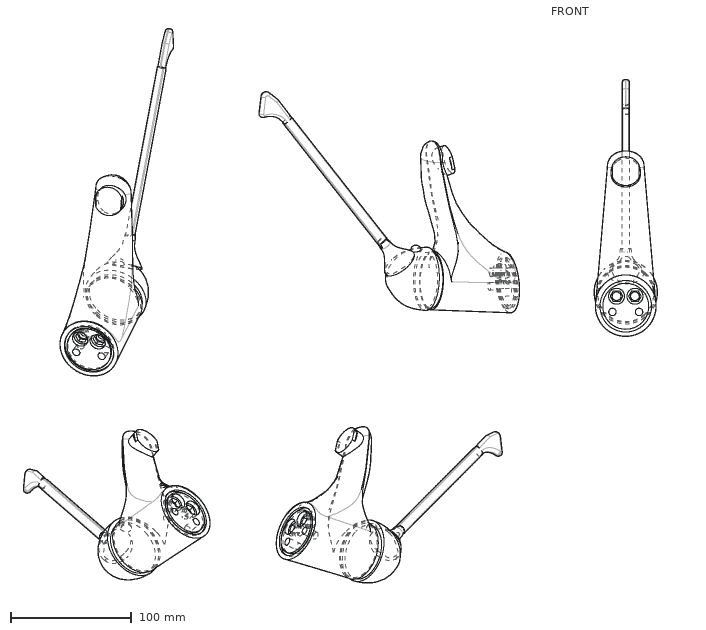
import cadquery as cq
import math


BODY_TILT = 7.5
BASE_RADIUS = 25.2
BODY_LENGTH = 69.0
BODY_END_RADIUS = 24.35
BARREL_OVERRUN = 8.0

RING_RADIUS = 23.0
RING_LENGTH = 4.8
CAP_START = BODY_LENGTH + RING_LENGTH

CAP_RADIUS = 26.25
CAP_RISE = 1.3
CAP_DOME = [(11.0, 24.9), (23.0, 19.3), (31.5, 10.6), (35.2, 0.0)]

SIDE_HALF_WIDTH = 25.03
SIDE_SLOPE = 0.085
SPOUT_TOP = 128.0
SPOUT_SECTIONS = [
    ((0.0, -6.0), (0.0, -0.5), (0.0, 0.2), (0.0, 25.0)),
    ((24.0, -4.0), (21.0, 2.5), (15.7, 9.0), (8.0, 30.0)),
    ((46.0, -1.0), (42.0, 5.0), (29.6, 20.4), (17.0, 36.9)),
    ((64.0, 8.0), (58.0, 9.5), (40.0, 30.5), (26.1, 46.0)),
    ((66.0, 25.0), (59.5, 20.0), (48.0, 41.0), (33.5, 53.8)),
    ((62.6, 39.5), (54.0, 36.0), (52.5, 50.5), (39.5, 61.2)),
    ((66.0, 54.0), (55.9, 57.1), (55.3, 59.0), (44.6, 69.5)),
    ((72.4, 75.6), (60.3, 75.6), (59.7, 75.6), (49.0, 78.0)),
    ((75.9, 94.0), (63.5, 94.0), (63.0, 94.0), (54.3, 94.0)),
    ((76.9, 114.0), (67.0, 114.0), (66.5, 114.0), (60.5, 114.0)),
]
SECTIONS_PER_SPAN = 2
DOME_EXPONENT = 2.3
DOME_LEVELS = [0.0, 0.3, 0.55, 0.75, 0.88, 0.95, 0.985, 0.998]

AERATOR_TILT = 12.5
AERATOR_FACE = (53.1, 111.2)
AERATOR_RADIUS = 12.2
AERATOR_LENGTH = 11.0
AERATOR_FLAT = 10.9
AERATOR_FLAT_DEPTH = 2.8

LEVER_TILT = 53.0
LEVER_ROOT = (110.0, 44.1)
LEVER_WIDTH = 6.0
LEVER_HEIGHT = 8.4
LEVER_EDGE_FILLET = 0.8
PADDLE_EDGE_FILLET = 2.6
NECK_RADIUS = 4.9
SLEEVE_RADIUS = 4.2
SLEEVE_LENGTH = 5.0
BAR_LENGTH = 146.0
PADDLE_START = BAR_LENGTH - 1.0
PADDLE_SHOULDER = (166.0, 4.5)
PADDLE_TIP_CORNER = (183.8, 0.6)
PADDLE_LOW_CORNER = (165.1, -17.6)
PADDLE_CURVE_END = (162.4, -13.8)
PADDLE_CURVE_MIDDLE = (156.1, -6.7)
PADDLE_TIP_ROUND = 4.3
PADDLE_LOW_ROUND = 3.2
NECK_FLARE = [(8.6, 6.7), (17.7, 12.6), (21.5, 14.8)]

MARK_RADIUS = 4.4
MARK_CENTRE = (82.4, 36.4)

GROOVE_OUTER_RADIUS = 21.3
GROOVE_INNER_RADIUS = 19.0
GROOVE_DEPTH = 2.0
GROOVE_Z = -0.5
HOSE_X = 7.6
HOSE_Z = 7.8
HOSE_BORE_RADIUS = 6.6
HOSE_BORE_DEPTH = 4.0
HOSE_HEX_ACROSS_CORNERS = 10.4
HOSE_HEX_DEPTH = 8.0
HOSE_HOLE_RADIUS = 3.6
HOSE_HOLE_DEPTH = 12.0
STUD_X = 11.0
STUD_Z = -5.2
STUD_RADIUS = 3.1
STUD_DEPTH = 12.0


def side_half_width(z):
    return SIDE_HALF_WIDTH - SIDE_SLOPE * z


def axis_plane(origin_yz, tilt):
    """Plane at X = 0: local x runs along +Y raised by tilt, local y upwards."""
    angle = math.radians(tilt)
    return cq.Plane(
        origin=(0, origin_yz[0], origin_yz[1]),
        xDir=(0, math.cos(angle), math.sin(angle)),
        normal=(1, 0, 0),
    )


def make_body():
    """Barrel and neck ring turned about the tilted axis, trimmed at the mounting face."""
    taper = (BASE_RADIUS - BODY_END_RADIUS) / BODY_LENGTH
    turned = (
        cq.Workplane(axis_plane((0, 0), BODY_TILT))
        .moveTo(-BARREL_OVERRUN, 0)
        .lineTo(-BARREL_OVERRUN, BASE_RADIUS + taper * BARREL_OVERRUN)
        .lineTo(BODY_LENGTH, BODY_END_RADIUS)
        .lineTo(BODY_LENGTH, RING_RADIUS)
        .lineTo(CAP_START, RING_RADIUS)
        .lineTo(CAP_START, 0)
        .lineTo(-BARREL_OVERRUN, 0)
        .close()
        .revolve(360, (0, 0), (1, 0))
    )
    trim = cq.Workplane("XZ").rect(4 * BASE_RADIUS, 4 * BASE_RADIUS).extrude(2 * BARREL_OVERRUN)
    return turned.cut(trim)


def make_cap():
    """Domed cap turned about an axis just above the barrel axis."""
    profile = [(0, CAP_RADIUS)] + CAP_DOME
    return (
        cq.Workplane(axis_plane((0, 0), BODY_TILT))
        .center(CAP_START, CAP_RISE)
        .lineTo(0, CAP_RADIUS)
        .spline(profile, tangents=[(1, 0), (0, -1)])
        .close()
        .revolve(360, (0, 0), (1, 0))
    )


def guide_curve(points):
    """Smooth curve at X = 0 whose parameter counts the points it passes."""
    return cq.Edge.makeSpline([cq.Vector(0, y, z) for y, z in points], parameters=range(len(points)))


def lens_section(half_widths, back, back_edge, front_edge, front):
    """Closed section: front and back arcs joined by two straight sides."""
    back_half_width, front_half_width = half_widths
    left_front, right_front = (front_edge + cq.Vector(x, 0, 0) for x in (-front_half_width, front_half_width))
    left_back, right_back = (back_edge + cq.Vector(x, 0, 0) for x in (-back_half_width, back_half_width))
    return cq.Wire.assembleEdges([
        cq.Edge.makeThreePointArc(left_front, front, right_front),
        cq.Edge.makeLine(right_front, right_back),
        cq.Edge.makeThreePointArc(right_back, back, left_back),
        cq.Edge.makeLine(left_back, left_front),
    ])


def make_horn():
    """Spout up to the start of its domed tip, lofted along the guide curves."""
    guides = [guide_curve(p) for p in zip(*SPOUT_SECTIONS)]
    sections = []
    for i in range((len(SPOUT_SECTIONS) - 1) * SECTIONS_PER_SPAN + 1):
        points = [guide.positionAt(i / SECTIONS_PER_SPAN, mode="parameter") for guide in guides]
        half_widths = [side_half_width(edge.z) for edge in points[1:3]]
        sections.append(lens_section(half_widths, *points))
    return cq.Workplane(cq.Solid.makeLoft(sections))


def make_spout_tip():
    """Dome over the top section of the horn, shrinking along a near-elliptic curve."""
    start_section = SPOUT_SECTIONS[-1]
    middle_y, start_z = start_section[2]
    half_width = side_half_width(start_z)
    sections = []
    for level in DOME_LEVELS:
        scale = math.sqrt(1 - level ** DOME_EXPONENT)
        z = start_z + level * (SPOUT_TOP - start_z)
        points = [cq.Vector(0, middle_y + scale * (y - middle_y), z) for y, _ in start_section]
        sections.append(lens_section([scale * half_width] * 2, *points))
    return cq.Workplane(cq.Solid.makeLoft(sections))


def make_aerator():
    """Outlet nozzle with two wrench flats at its face."""
    nozzle = cq.Workplane("XY").circle(AERATOR_RADIUS).extrude(-AERATOR_LENGTH)
    jaws = (
        cq.Workplane("XY")
        .rect(4 * AERATOR_RADIUS, 4 * AERATOR_RADIUS)
        .rect(2 * AERATOR_FLAT, 4 * AERATOR_RADIUS)
        .extrude(-AERATOR_FLAT_DEPTH)
    )
    return (
        nozzle.cut(jaws)
        .rotate((0, 0, 0), (1, 0, 0), 90 - AERATOR_TILT)
        .translate((0, *AERATOR_FACE))
    )


def make_neck():
    """Round sleeve on the lever that flares into the cap."""
    flare_end = NECK_FLARE[-1][0]
    return (
        cq.Workplane(axis_plane(LEVER_ROOT, LEVER_TILT))
        .moveTo(SLEEVE_LENGTH, 0)
        .lineTo(SLEEVE_LENGTH, SLEEVE_RADIUS)
        .lineTo(0, NECK_RADIUS)
        .spline([(-d, r) for d, r in NECK_FLARE], includeCurrent=True)
        .lineTo(-flare_end, 0)
        .close()
        .revolve(360, (0, 0), (1, 0))
    )


def make_lever():
    """Flat bar with softened edges, ending in a hooked paddle."""
    plane = axis_plane(LEVER_ROOT, LEVER_TILT)
    bar = (
        cq.Workplane(plane)
        .center(BAR_LENGTH / 2, 0)
        .box(BAR_LENGTH, LEVER_HEIGHT, LEVER_WIDTH)
        .edges(cq.selectors.ParallelDirSelector(plane.xDir))
        .fillet(LEVER_EDGE_FILLET)
    )
    outline = (
        cq.Workplane(plane)
        .moveTo(PADDLE_START, LEVER_HEIGHT / 2)
        .lineTo(*PADDLE_SHOULDER)
        .lineTo(*PADDLE_TIP_CORNER)
        .lineTo(*PADDLE_LOW_CORNER)
        .lineTo(*PADDLE_CURVE_END)
        .threePointArc(PADDLE_CURVE_MIDDLE, (PADDLE_START, -LEVER_HEIGHT / 2))
        .close()
        .extrude(LEVER_WIDTH / 2, both=True)
    )
    for corner, radius in ((PADDLE_TIP_CORNER, PADDLE_TIP_ROUND), (PADDLE_LOW_CORNER, PADDLE_LOW_ROUND)):
        point = plane.toWorldCoords(corner).toTuple()
        outline = outline.edges("|X").edges(cq.selectors.NearestToPointSelector(point)).fillet(radius)
    paddle_sides = outline.faces("<X or >X").edges()
    rounded = [e for e in paddle_sides.vals() if plane.toLocalCoords(e.Center()).x > BAR_LENGTH]
    paddle = outline.newObject(rounded).fillet(PADDLE_EDGE_FILLET)
    return bar.union(paddle)


def make_temperature_mark():
    return cq.Workplane("XY").sphere(MARK_RADIUS).translate((0, *MARK_CENTRE))


def mounting_face(points):
    return cq.Workplane("XZ").pushPoints(points)


def make_mounting_cuts():
    """Seal groove, two stepped hose sockets and two stud holes, cut along +Y."""
    hoses = [(-HOSE_X, HOSE_Z), (HOSE_X, HOSE_Z)]
    studs = [(-STUD_X, STUD_Z), (STUD_X, STUD_Z)]
    return (
        mounting_face([(0, GROOVE_Z)])
        .circle(GROOVE_OUTER_RADIUS)
        .extrude(-GROOVE_DEPTH)
        .cut(mounting_face([(0, GROOVE_Z)]).circle(GROOVE_INNER_RADIUS).extrude(-GROOVE_DEPTH))
        .union(mounting_face(hoses).circle(HOSE_BORE_RADIUS).extrude(-HOSE_BORE_DEPTH))
        .union(mounting_face(hoses).polygon(6, HOSE_HEX_ACROSS_CORNERS).extrude(-HOSE_HEX_DEPTH))
        .union(mounting_face(hoses).circle(HOSE_HOLE_RADIUS).extrude(-HOSE_HOLE_DEPTH))
        .union(mounting_face(studs).circle(STUD_RADIUS).extrude(-STUD_DEPTH))
    )


parts = [
    make_cap(),
    make_horn(),
    make_spout_tip(),
    make_aerator(),
    make_neck(),
    make_lever(),
    make_temperature_mark(),
]
result = make_body()
for part in parts:
    result = result.union(part)
result = result.cut(make_mounting_cuts())